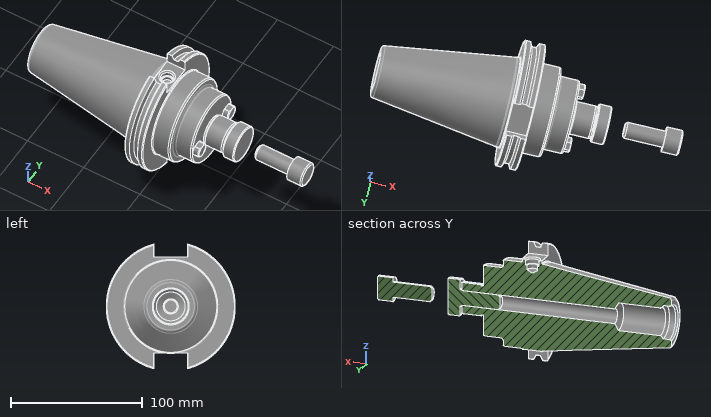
import cadquery as cq
import math


TAPER_LENGTH = 101.5
TAPER_DIAMETER = 69.8
TAPER_PER_LENGTH = 7 / 24
SMALL_END_FILLET = 2.5
COLLAR_DIAMETER = 70.0
COLLAR_START = 102.2

FLANGE_START = 104.8
FLANGE_WIDTH = 16.0
FLANGE_DIAMETER = 98.1
FLANGE_CHAMFER = 0.7
FRONT_ROOT_FILLET = 0.7
BACK_ROOT_FILLET = 0.7
FLANGE_CENTRE = FLANGE_START + FLANGE_WIDTH / 2
FLANGE_END = FLANGE_START + FLANGE_WIDTH
GROOVE_WIDTH = 7.1
GROOVE_FLOOR_WIDTH = 3.5
GROOVE_DEPTH = 3.5

SLOT_WIDTH = 25.7
UPPER_SLOT_FLOOR = 37.6
LOWER_SLOT_FLOOR = 35.5

HOLE_DIAMETER = 10.2
HOLE_CHAMFER_DIAMETER = 12.6
HOLE_DEPTH = 4.8
TIP_HOLE_DIAMETER = 8.0
TIP_HOLE_DEPTH = 8.3
DRILL_POINT_ANGLE = 118

SHOULDER_END = 136.5
SHOULDER_CHAMFER_LENGTH = 1.5
SHOULDER_CHAMFER_DEPTH = 0.7
PILOT_DIAMETER = 57.2
PILOT_END = 152.5
PILOT_ROOT_FILLET = 1.7
LEAD_IN_LENGTH = 1.5
LEAD_IN_DEPTH = 0.5
SPIGOT_DIAMETER = 25.5
SPIGOT_END = 170.0
UNDERCUT_DIAMETER = 23.8
UNDERCUT_WIDTH = 1.7

MOUTH_DIAMETER = 28.0
MOUTH_DEPTH = 1.7
PILOT_BORE_DIAMETER = 26.5
PILOT_BORE_DEPTH = 6.7
DRAWBAR_BORE_DIAMETER = 22.0
DRAWBAR_BORE_DEPTH = 42.9
THROUGH_BORE_DIAMETER = 11.5

KEY_DIAMETER = 11.5
KEY_ACROSS_FLATS = 9.8
KEY_HEIGHT = 5.0
KEY_CHAMFER = 0.7
KEY_OFFSET = 21.5

NECK_DIAMETER = 13.8
CLAMP_HEAD_START = 171.0
CLAMP_HEAD_END = 181.0
CLAMP_HEAD_DIAMETER = 29.8
CLAMP_HEAD_CHAMFER = 0.7

CAP_SCREW_TIP = 194.0
CAP_HEAD_START = 225.3
CAP_HEAD_END = 238.2
CAP_SHANK_DIAMETER = 12.6
CAP_HEAD_DIAMETER = 19.5
CAP_HEAD_END_DIAMETER = 17.2
CAP_HEAD_CHAMFER = 1.0

SCREW_LENGTH = CAP_HEAD_START - CAP_SCREW_TIP
TIP_DIAMETER = 9.8
TIP_LENGTH = 1.7


def cone_length(start_diameter, end_diameter):
    """Length of a drill-point cone between two diameters."""
    half_angle = math.radians(DRILL_POINT_ANGLE / 2)
    return (start_diameter - end_diameter) / 2 / math.tan(half_angle)


def turned(points):
    """Solid of revolution about X through (x, diameter) points, closed along the axis."""
    first_x = points[0][0]
    last_x, last_diameter = points[-1]
    profile = [(first_x, 0)] + [(x, diameter / 2) for x, diameter in points]
    if last_diameter > 0:
        profile.append((last_x, 0))
    return cq.Workplane("XY").polyline(profile).close().revolve(360, (0, 0, 0), (1, 0, 0))


def root_fillet(x, diameter, radius, side):
    """Ring that rounds the corner where a cylinder meets a face at x; side is -1 or +1 along X."""
    inner = diameter / 2
    bulge = radius * (1 - math.sqrt(0.5))
    return (
        cq.Workplane("XY")
        .moveTo(x, inner)
        .lineTo(x + side * radius, inner)
        .threePointArc((x + side * bulge, inner + bulge), (x, inner + radius))
        .close()
        .revolve(360, (0, 0, 0), (1, 0, 0))
    )


def taper_shank():
    small_diameter = TAPER_DIAMETER - TAPER_LENGTH * TAPER_PER_LENGTH
    shank = turned([
        (0, small_diameter),
        (TAPER_LENGTH, TAPER_DIAMETER),
        (COLLAR_START, COLLAR_DIAMETER),
        (FLANGE_START, COLLAR_DIAMETER),
    ])
    return shank.faces("<X").edges().fillet(SMALL_END_FILLET)


def flange():
    edge_diameter = FLANGE_DIAMETER - 2 * FLANGE_CHAMFER
    floor_diameter = FLANGE_DIAMETER - 2 * GROOVE_DEPTH
    ring = turned([
        (FLANGE_START, edge_diameter),
        (FLANGE_START + FLANGE_CHAMFER, FLANGE_DIAMETER),
        (FLANGE_CENTRE - GROOVE_WIDTH / 2, FLANGE_DIAMETER),
        (FLANGE_CENTRE - GROOVE_FLOOR_WIDTH / 2, floor_diameter),
        (FLANGE_CENTRE + GROOVE_FLOOR_WIDTH / 2, floor_diameter),
        (FLANGE_CENTRE + GROOVE_WIDTH / 2, FLANGE_DIAMETER),
        (FLANGE_END - FLANGE_CHAMFER, FLANGE_DIAMETER),
        (FLANGE_END, edge_diameter),
    ])
    for floor, direction in ((UPPER_SLOT_FLOOR, 1), (LOWER_SLOT_FLOOR, -1)):
        slot_depth = FLANGE_DIAMETER / 2 - floor
        slot = cq.Workplane("XY").box(FLANGE_WIDTH, SLOT_WIDTH, slot_depth).translate(
            (FLANGE_CENTRE, 0, direction * (floor + slot_depth / 2))
        )
        ring = ring.cut(slot)
    return ring


def front_end():
    """Shoulder, pilot and spigot in front of the flange."""
    pilot_lead_diameter = PILOT_DIAMETER - 2 * LEAD_IN_DEPTH
    spigot_lead_diameter = SPIGOT_DIAMETER - 2 * LEAD_IN_DEPTH
    return turned([
        (FLANGE_END, COLLAR_DIAMETER),
        (SHOULDER_END - SHOULDER_CHAMFER_LENGTH, COLLAR_DIAMETER),
        (SHOULDER_END, COLLAR_DIAMETER - 2 * SHOULDER_CHAMFER_DEPTH),
        (SHOULDER_END, PILOT_DIAMETER),
        (PILOT_END - LEAD_IN_LENGTH, PILOT_DIAMETER),
        (PILOT_END, pilot_lead_diameter),
        (PILOT_END, UNDERCUT_DIAMETER),
        (PILOT_END + UNDERCUT_WIDTH, UNDERCUT_DIAMETER),
        (PILOT_END + UNDERCUT_WIDTH, SPIGOT_DIAMETER),
        (SPIGOT_END - LEAD_IN_LENGTH, SPIGOT_DIAMETER),
        (SPIGOT_END, spigot_lead_diameter),
    ])


def bore():
    neck_down = (PILOT_BORE_DIAMETER - DRAWBAR_BORE_DIAMETER) / 2
    drill_point = cone_length(DRAWBAR_BORE_DIAMETER, THROUGH_BORE_DIAMETER)
    return turned([
        (0, MOUTH_DIAMETER),
        (MOUTH_DEPTH, PILOT_BORE_DIAMETER),
        (PILOT_BORE_DEPTH, PILOT_BORE_DIAMETER),
        (PILOT_BORE_DEPTH + neck_down, DRAWBAR_BORE_DIAMETER),
        (DRAWBAR_BORE_DEPTH, DRAWBAR_BORE_DIAMETER),
        (DRAWBAR_BORE_DEPTH + drill_point, THROUGH_BORE_DIAMETER),
        (SPIGOT_END, THROUGH_BORE_DIAMETER),
    ])


def slot_hole():
    """Stepped, pointed hole going down from the upper slot floor."""
    chamfer = (HOLE_CHAMFER_DIAMETER - HOLE_DIAMETER) / 2
    drill_point = cone_length(TIP_HOLE_DIAMETER, 0)
    along_x = turned([
        (0, HOLE_CHAMFER_DIAMETER),
        (chamfer, HOLE_DIAMETER),
        (HOLE_DEPTH, HOLE_DIAMETER),
        (HOLE_DEPTH, TIP_HOLE_DIAMETER),
        (TIP_HOLE_DEPTH, TIP_HOLE_DIAMETER),
        (TIP_HOLE_DEPTH + drill_point, 0),
    ])
    pointing_down = along_x.rotate((0, 0, 0), (0, 1, 0), 90)
    return pointing_down.translate((FLANGE_CENTRE, 0, UPPER_SLOT_FLOOR))


def make_arbor():
    return (
        taper_shank()
        .union(flange())
        .union(front_end())
        .union(root_fillet(FLANGE_START, COLLAR_DIAMETER, FRONT_ROOT_FILLET, -1))
        .union(root_fillet(FLANGE_END, COLLAR_DIAMETER, BACK_ROOT_FILLET, 1))
        .union(root_fillet(SHOULDER_END, PILOT_DIAMETER, PILOT_ROOT_FILLET, 1))
        .cut(bore())
        .cut(slot_hole())
    )


def make_key(y):
    """Round drive key with two parallel flats, standing on the pilot face at offset y."""
    key_end = PILOT_END + KEY_HEIGHT
    pin = turned([
        (PILOT_END, KEY_DIAMETER),
        (key_end - KEY_CHAMFER, KEY_DIAMETER),
        (key_end, KEY_DIAMETER - 2 * KEY_CHAMFER),
    ])
    between_flats = cq.Workplane("XY").box(KEY_HEIGHT, KEY_DIAMETER, KEY_ACROSS_FLATS).translate(
        (PILOT_END + KEY_HEIGHT / 2, 0, 0)
    )
    return pin.intersect(between_flats).translate((0, y, 0))


def make_clamping_screw():
    """Flat-headed screw whose shank fills the bore of the spigot."""
    tip = SPIGOT_END - SCREW_LENGTH
    edge_diameter = CLAMP_HEAD_DIAMETER - 2 * CLAMP_HEAD_CHAMFER
    return turned([
        (tip, TIP_DIAMETER),
        (tip + TIP_LENGTH, THROUGH_BORE_DIAMETER),
        (SPIGOT_END, THROUGH_BORE_DIAMETER),
        (SPIGOT_END, NECK_DIAMETER),
        (CLAMP_HEAD_START, NECK_DIAMETER),
        (CLAMP_HEAD_START, edge_diameter),
        (CLAMP_HEAD_START + CLAMP_HEAD_CHAMFER, CLAMP_HEAD_DIAMETER),
        (CLAMP_HEAD_END - CLAMP_HEAD_CHAMFER, CLAMP_HEAD_DIAMETER),
        (CLAMP_HEAD_END, edge_diameter),
    ])


def make_cap_screw():
    return turned([
        (CAP_SCREW_TIP, TIP_DIAMETER),
        (CAP_SCREW_TIP + TIP_LENGTH, CAP_SHANK_DIAMETER),
        (CAP_HEAD_START, CAP_SHANK_DIAMETER),
        (CAP_HEAD_START, CAP_HEAD_DIAMETER),
        (CAP_HEAD_END - CAP_HEAD_CHAMFER, CAP_HEAD_DIAMETER),
        (CAP_HEAD_END, CAP_HEAD_END_DIAMETER),
    ])


arbor = make_arbor()
keys = [make_key(y) for y in (-KEY_OFFSET, KEY_OFFSET)]
clamping_screw = make_clamping_screw()
cap_screw = make_cap_screw()

result = cq.Compound.makeCompound([
    arbor.val(),
    *[key.val() for key in keys],
    clamping_screw.val(),
    cap_screw.val(),
])